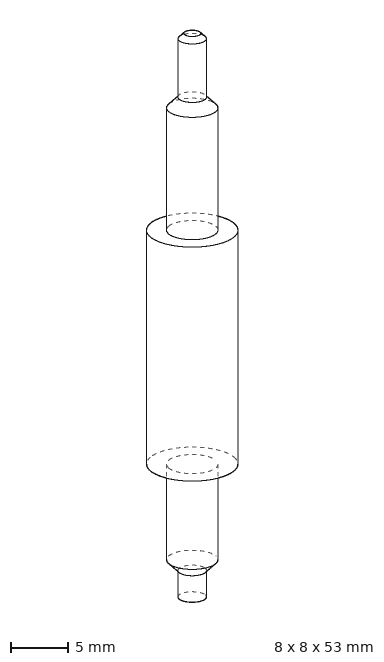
import cadquery as cq

pin_diameter = 2.5
shaft_diameter = 4.5
barrel_diameter = 8.0

lower_pin_length = 2.5
lower_shaft_length = 9.0
barrel_length = 22.0
upper_shaft_length = 11.5
upper_pin_length = 6.0
tip_chamfer = 0.5

pin_radius = pin_diameter / 2
shaft_radius = shaft_diameter / 2
barrel_radius = barrel_diameter / 2
shoulder_height = shaft_radius - pin_radius

lower_shaft_bottom_z = lower_pin_length + shoulder_height
barrel_bottom_z = lower_shaft_bottom_z + lower_shaft_length
barrel_top_z = barrel_bottom_z + barrel_length
upper_shaft_top_z = barrel_top_z + upper_shaft_length
upper_pin_bottom_z = upper_shaft_top_z + shoulder_height
total_length = upper_pin_bottom_z + upper_pin_length


def turned_profile():
    """Closed half section in the XZ plane, from the axis outwards."""
    return (
        cq.Workplane("XZ")
        .moveTo(0, 0)
        .lineTo(pin_radius, 0)
        .lineTo(pin_radius, lower_pin_length)
        .lineTo(shaft_radius, lower_shaft_bottom_z)
        .lineTo(shaft_radius, barrel_bottom_z)
        .lineTo(barrel_radius, barrel_bottom_z)
        .lineTo(barrel_radius, barrel_top_z)
        .lineTo(shaft_radius, barrel_top_z)
        .lineTo(shaft_radius, upper_shaft_top_z)
        .lineTo(pin_radius, upper_pin_bottom_z)
        .lineTo(pin_radius, total_length - tip_chamfer)
        .lineTo(pin_radius - tip_chamfer, total_length)
        .lineTo(0, total_length)
        .close()
    )


result = turned_profile().revolve(360, (0, 0, 0), (0, 1, 0))